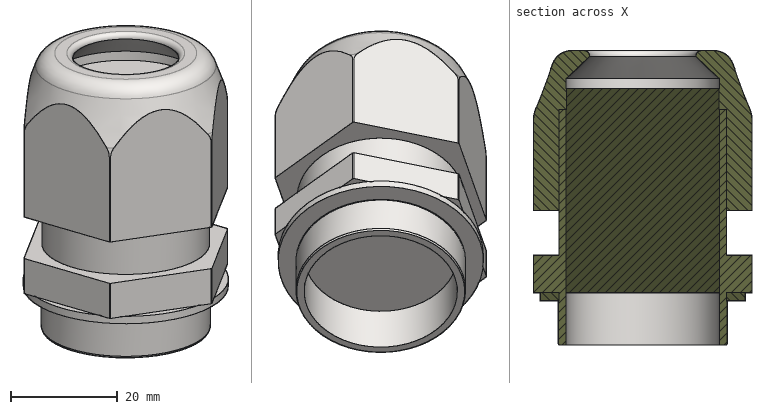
import cadquery as cq
import math


across_flats = 35.65
corner_radius = 20.5

washer_bottom = 8.3
washer_thickness = 1.5
hex_height = 7.1
nut_bottom = 25.2
seal_top = 48.15
overall_height = 55.25
hex_bottom = washer_bottom + washer_thickness
hex_top = hex_bottom + hex_height

thread_radius = 15.9
chamfer_height = 0.4
chamfer_width = 0.15
neck_radius = 15.75
bore_radius = 14.35
neck_top = 44.2

washer_radius = 19.26

crown_flat_radius = 13.3
crown_round = 3.85
crown_angle = math.radians(20.5)
shoulder_round = 5.0
opening_radius = 9.95
lip_round = 1.1
cavity_cone_bottom = 49.95


def cylinder(radius, bottom, top):
    return cq.Workplane("XY").workplane(offset=bottom).circle(radius).extrude(top - bottom)


def hexagon(bottom, top):
    """Hexagonal prism with two corners on the Y axis and slightly rounded vertical edges."""
    prism = (
        cq.Workplane("XY")
        .workplane(offset=bottom)
        .polygon(6, across_flats, circumscribed=True)
        .extrude(top - bottom)
    )
    return prism.intersect(cylinder(corner_radius, bottom, top))


def make_body():
    thread = (
        cq.Workplane("XZ")
        .lineTo(thread_radius - chamfer_width, 0)
        .lineTo(thread_radius, chamfer_height)
        .lineTo(thread_radius, washer_bottom)
        .lineTo(0, washer_bottom)
        .close()
        .revolve(360, (0, 0, 0), (0, 1, 0))
    )
    neck = cylinder(neck_radius, washer_bottom, neck_top)
    bore = cylinder(bore_radius, 0, neck_top)
    return thread.union(neck).union(hexagon(hex_bottom, hex_top)).cut(bore)


def make_washer():
    ring = cylinder(washer_radius, washer_bottom, hex_bottom)
    return ring.cut(cylinder(neck_radius, washer_bottom, hex_bottom))


def make_seal():
    return cylinder(bore_radius, hex_bottom, seal_top)


def crown_envelope():
    """Turned shape that rounds the crown: cylinder, shoulder, cone and rounded top edge."""
    center_z = overall_height - crown_round
    round_end_radius = crown_flat_radius + crown_round * math.cos(crown_angle)
    round_end_z = center_z + crown_round * math.sin(crown_angle)
    middle = (math.pi / 2 + crown_angle) / 2
    round_middle = (
        crown_flat_radius + crown_round * math.cos(middle),
        center_z + crown_round * math.sin(middle),
    )
    corner_z = round_end_z - (corner_radius - round_end_radius) / math.tan(crown_angle)
    shoulder_bottom = corner_z - shoulder_round * math.tan(crown_angle / 2)
    shoulder_center = corner_radius - shoulder_round

    def shoulder_point(angle):
        return (
            shoulder_center + shoulder_round * math.cos(angle),
            shoulder_bottom + shoulder_round * math.sin(angle),
        )

    return (
        cq.Workplane("XZ")
        .moveTo(0, nut_bottom)
        .lineTo(corner_radius, nut_bottom)
        .lineTo(corner_radius, shoulder_bottom)
        .threePointArc(shoulder_point(crown_angle / 2), shoulder_point(crown_angle))
        .lineTo(round_end_radius, round_end_z)
        .threePointArc(round_middle, (crown_flat_radius, overall_height))
        .lineTo(0, overall_height)
        .close()
        .revolve(360, (0, 0, 0), (0, 1, 0))
    )


def nut_cavity():
    """Turned hollow above the thread: seal bore, narrowing cone and opening with a rounded lip."""
    lip_bottom = overall_height - lip_round
    lip_center = opening_radius + lip_round
    lip_offset = lip_round * math.sqrt(0.5)
    return (
        cq.Workplane("XZ")
        .moveTo(0, neck_top)
        .lineTo(bore_radius, neck_top)
        .lineTo(bore_radius, cavity_cone_bottom)
        .lineTo(opening_radius, lip_bottom)
        .threePointArc((lip_center - lip_offset, lip_bottom + lip_offset), (lip_center, overall_height))
        .lineTo(0, overall_height)
        .close()
        .revolve(360, (0, 0, 0), (0, 1, 0))
    )


def make_nut():
    blank = hexagon(nut_bottom, overall_height).intersect(crown_envelope())
    thread_bore = cylinder(neck_radius, nut_bottom, neck_top)
    return blank.cut(thread_bore).cut(nut_cavity())


body = make_body()
washer = make_washer()
seal = make_seal()
nut = make_nut()

result = cq.Compound.makeCompound([body.val(), washer.val(), seal.val(), nut.val()])